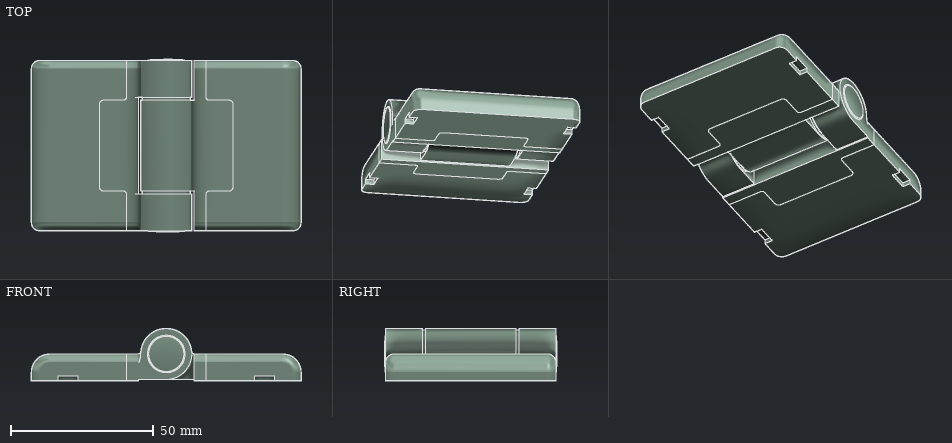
import cadquery as cq
import math

width = 95.0
length = 60.0
plate_thickness = 9.5
half_width = width / 2
half_length = length / 2

knuckle_radius = 9.0
axis_height = plate_thickness
knuckle_bottom = axis_height - knuckle_radius
middle_knuckle_length = 32.0
washer_thickness = 1.0
washer_radius = 8.5
recess_length = middle_knuckle_length + 2 * washer_thickness

recess_edge_radius = 1.0

blend_radius = 1.0

plate_edge = 9.75

outer_edge_radius = 6.5
side_edge_radius = 3.0

joint_x = 14.0
tab_x = 23.5
tab_length = middle_knuckle_length
tab_outer_radius = 1.5
tab_inner_radius = 1.0

notch_inner_x = 31.0
notch_width = 7.0
notch_height = 1.7
notch_depth = 3.0

pin_radius = 6.6
rim_width = 0.4
rim_height = 0.2
dome_height = 0.225

margin = 0.1
tool_height = 3 * axis_height


def block(x_min, x_max, y_length, z_min, z_max):
    """Box between two X and two Z positions, centred on Y."""
    size_x = x_max - x_min
    return (
        cq.Workplane("XY")
        .box(size_x, y_length, z_max - z_min, centered=(False, True, False))
        .translate((x_min, 0, z_min))
    )


def cylinder(radius, y_min, y_max):
    """Cylinder on the hinge axis between two Y positions."""
    return (
        cq.Workplane("XZ", origin=(0, y_min, axis_height))
        .circle(radius)
        .extrude(y_min - y_max)
    )


def mirrored(body):
    """Same body on the other side of the hinge axis."""
    return body.mirror("YZ")


def rounded_plate(inner_x):
    """Left plate from the outer edge to inner_x, with rounded outer and side edges."""
    plate = block(-half_width, inner_x, length, 0, plate_thickness)
    plate = plate.edges("<X and >Z").fillet(outer_edge_radius)
    outline = cq.selectors.BoxSelector(
        (-width, -length, margin),
        (inner_x - margin, length, tool_height),
    )
    return plate.faces("<Y or >Y").edges(outline).fillet(side_edge_radius)


def leaf_region():
    """Prism that holds all of the left leaf: the strip at the knuckles and its tab."""
    strip = block(-joint_x, knuckle_radius, 2 * length, -margin, tool_height)
    tab = block(-tab_x, -joint_x, tab_length, -margin, tool_height)
    tab = tab.edges("|Z and <X").fillet(tab_outer_radius)
    region = strip.union(tab)
    inner_corners = cq.selectors.BoxSelector(
        (-joint_x - margin, -length, -margin),
        (-joint_x + margin, length, tool_height),
    )
    return region.edges("|Z").edges(inner_corners).fillet(tab_inner_radius)


def make_cover():
    """Left cover: the outer plate around the leaf's tab, notched at both ends."""
    cover = rounded_plate(-plate_edge).cut(leaf_region())
    for side in (-1, 1):
        notch = block(-notch_inner_x - notch_width, -notch_inner_x, 2 * notch_depth, 0, notch_height)
        cover = cover.cut(notch.translate((0, side * half_length, 0)))
    return cover


def blended(leaf, y_min, y_max):
    """Fill the corner between the plate top and the knuckle with a concave blend."""
    corner = cq.selectors.BoxSelector(
        (-knuckle_radius - margin, y_min, axis_height - side_edge_radius),
        (-knuckle_radius / 2, y_max, axis_height + margin),
    )
    return leaf.edges(corner).fillet(blend_radius)


def raised_underside():
    """Space left free below the knuckles and the web."""
    return block(-plate_edge, knuckle_radius, 2 * length, -margin, knuckle_bottom)


def knuckle_recess():
    """Space for the middle knuckle and washers, rounding the top edge of the plate it leaves."""
    rounding_start = -plate_edge - recess_edge_radius
    arc_drop = recess_edge_radius * (1 - math.cos(math.radians(45)))
    return (
        cq.Workplane("XZ")
        .moveTo(rounding_start, tool_height)
        .lineTo(rounding_start, plate_thickness)
        .threePointArc(
            (-plate_edge - arc_drop, plate_thickness - arc_drop),
            (-plate_edge, plate_thickness - recess_edge_radius),
        )
        .lineTo(-plate_edge, -margin)
        .lineTo(2 * knuckle_radius, -margin)
        .lineTo(2 * knuckle_radius, tool_height)
        .close()
        .extrude(recess_length / 2, both=True)
    )


def make_end_knuckle_leaf():
    """Left leaf, with a knuckle at each end of the hinge."""
    plate_end = -knuckle_radius / 2
    leaf = rounded_plate(plate_end).intersect(leaf_region())
    overlong = half_length + 2 * blend_radius
    leaf = leaf.union(cylinder(knuckle_radius, -overlong, overlong))
    leaf = blended(leaf, -overlong, overlong)
    leaf = leaf.intersect(block(-half_width, half_width, length, 0, tool_height))
    leaf = leaf.union(block(plate_end, 0, length, knuckle_bottom, axis_height))
    leaf = leaf.cut(raised_underside())
    leaf = leaf.cut(knuckle_recess())
    return leaf.cut(cylinder(pin_radius, -half_length, half_length))


def make_middle_knuckle_leaf():
    """Right leaf, with a single knuckle in the middle; shaped on the left, then mirrored."""
    half_knuckle = middle_knuckle_length / 2
    leaf = rounded_plate(-plate_edge).intersect(leaf_region())
    knuckle = cylinder(knuckle_radius, -half_knuckle, half_knuckle)
    web = block(-joint_x, 0, middle_knuckle_length, 0, plate_thickness)
    knuckle = knuckle.union(web)
    knuckle = blended(knuckle, -half_knuckle, half_knuckle)
    knuckle = knuckle.cut(raised_underside())
    leaf = leaf.union(knuckle)
    leaf = leaf.cut(cylinder(pin_radius, -half_knuckle, half_knuckle))
    return mirrored(leaf)


def make_washer(side):
    """Washer between the middle knuckle and one end knuckle."""
    middle_y = side * (middle_knuckle_length + washer_thickness) / 2
    y_min = middle_y - washer_thickness / 2
    y_max = middle_y + washer_thickness / 2
    return cylinder(washer_radius, y_min, y_max).cut(cylinder(pin_radius, y_min, y_max))


def make_pin():
    """Pin through all knuckles, with a bevelled rim and a shallow dome at each end."""
    rim_y = half_length + rim_height
    tip_y = rim_y + dome_height
    face_radius = pin_radius - rim_width
    dome_radius = (face_radius ** 2 + dome_height ** 2) / (2 * dome_height)
    halfway_r = face_radius / 2
    halfway_y = tip_y - dome_radius + math.sqrt(dome_radius ** 2 - halfway_r ** 2)
    return (
        cq.Workplane("XY")
        .moveTo(0, -tip_y)
        .threePointArc((halfway_r, -halfway_y), (face_radius, -rim_y))
        .lineTo(pin_radius, -half_length)
        .lineTo(pin_radius, half_length)
        .lineTo(face_radius, rim_y)
        .threePointArc((halfway_r, halfway_y), (0, tip_y))
        .close()
        .revolve(360, (0, 0, 0), (0, 1, 0))
        .translate((0, 0, axis_height))
    )


left_cover = make_cover()
right_cover = mirrored(left_cover)
left_leaf = make_end_knuckle_leaf()
right_leaf = make_middle_knuckle_leaf()
washers = [make_washer(side) for side in (-1, 1)]
pin = make_pin()

result = cq.Compound.makeCompound(
    [
        left_cover.solids().val(),
        right_cover.solids().val(),
        left_leaf.solids().val(),
        right_leaf.solids().val(),
        *[washer.solids().val() for washer in washers],
        pin.solids().val(),
    ]
)